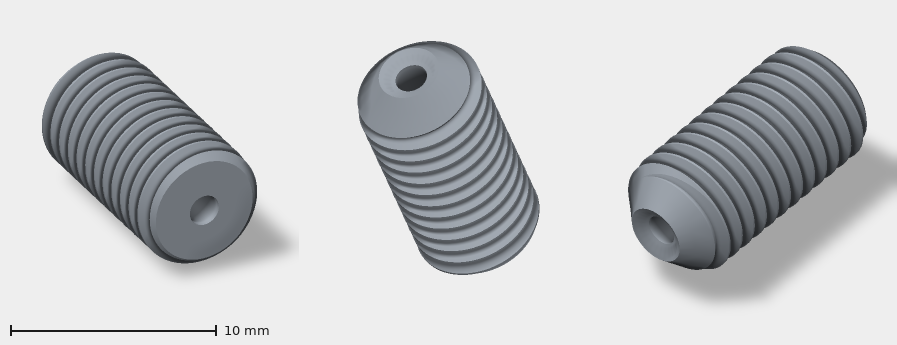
import cadquery as cq
import math

INCH = 25.4
length = INCH / 2
crest_radius = INCH / 8

pitch = INCH / 28
flank_angle = math.radians(30)
crest_flat = pitch / 8
thread_depth = 0.53
root_radius = crest_radius - thread_depth
flank_width = thread_depth * math.tan(flank_angle)
root_flat = pitch - crest_flat - 2 * flank_width

groove_start = 0.69
groove_turns = 14
cutter_overlap = 0.08

point_radius = 1.52
point_cone_length = crest_radius - point_radius
end_radius = 2.66
end_chamfer = crest_radius - end_radius

bore_radius = 0.795
cup_included_angle = math.radians(118)
cup_depth = (point_radius - bore_radius) / math.tan(cup_included_angle / 2)


def make_blank():
    """Revolved body with point cone, end chamfer, cup and bore."""
    return (
        cq.Workplane("XY")
        .moveTo(0, point_radius)
        .lineTo(point_cone_length, crest_radius)
        .lineTo(length - end_chamfer, crest_radius)
        .lineTo(length, end_radius)
        .lineTo(length, bore_radius)
        .lineTo(cup_depth, bore_radius)
        .close()
        .revolve(360, (0, 0, 0), (1, 0, 0))
    )


def make_thread_groove():
    """Right-handed helical groove, swept about Z and then laid along X."""
    helix = cq.Wire.makeHelix(pitch, groove_turns * pitch, root_radius)
    outer_radius = crest_radius + cutter_overlap
    root_half = root_flat / 2
    outer_half = root_half + (outer_radius - root_radius) * math.tan(flank_angle)
    groove = (
        cq.Workplane("XZ")
        .moveTo(root_radius, -root_half)
        .lineTo(outer_radius, -outer_half)
        .lineTo(outer_radius, outer_half)
        .lineTo(root_radius, root_half)
        .close()
        .sweep(cq.Workplane(helix), isFrenet=True)
    )
    laid_along_x = groove.rotate((0, 0, 0), (0, 1, 0), 90)
    return laid_along_x.translate((groove_start, 0, 0))


result = make_blank().cut(make_thread_groove())